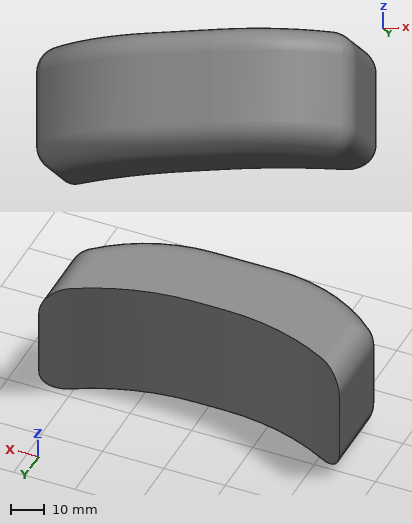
import cadquery as cq
import math

length = 98.0
depth = 43.5
height = 38.0
edge_radius = 8.0
flat_length = 21.0
front_radius = 52.2
back_flat_length = 9.8
waist = 28.9

half_length = length / 2
half_flat = flat_length / 2


def front_arc_y(x):
    """Y of the front arc, measured from the straight middle."""
    return front_radius - math.sqrt(front_radius**2 - (x - half_flat) ** 2)


corner_y = front_arc_y(half_length)
arc_middle_x = (half_flat + half_length) / 2
arc_middle_y = front_arc_y(arc_middle_x)

block = (
    cq.Workplane("XY")
    .workplane(offset=-height / 2)
    .moveTo(-half_flat, 0)
    .lineTo(half_flat, 0)
    .threePointArc((arc_middle_x, arc_middle_y), (half_length, corner_y))
    .lineTo(half_length, depth)
    .lineTo(-half_length, depth)
    .lineTo(-half_length, corner_y)
    .threePointArc((-arc_middle_x, arc_middle_y), (-half_flat, 0))
    .close()
    .extrude(height)
)

block = block.edges("|Z and (<X or >X)").edges("<Y").fillet(edge_radius)
block = block.faces("<Z or >Z").edges("not >Y").fillet(edge_radius)

hollow_depth = depth - waist
back_half_flat = back_flat_length / 2
back_arc_span = half_length - back_half_flat
back_radius = (back_arc_span**2 + hollow_depth**2) / (2 * hollow_depth)
back_middle_x = (back_half_flat + half_length) / 2
back_middle_y = waist + back_radius - math.sqrt(back_radius**2 - (back_arc_span / 2) ** 2)

hollow = (
    cq.Workplane("XY")
    .workplane(offset=-height / 2)
    .moveTo(-back_half_flat, waist)
    .lineTo(back_half_flat, waist)
    .threePointArc((back_middle_x, back_middle_y), (half_length, depth))
    .lineTo(-half_length, depth)
    .threePointArc((-back_middle_x, back_middle_y), (-back_half_flat, waist))
    .close()
    .extrude(height)
)

result = block.cut(hollow)